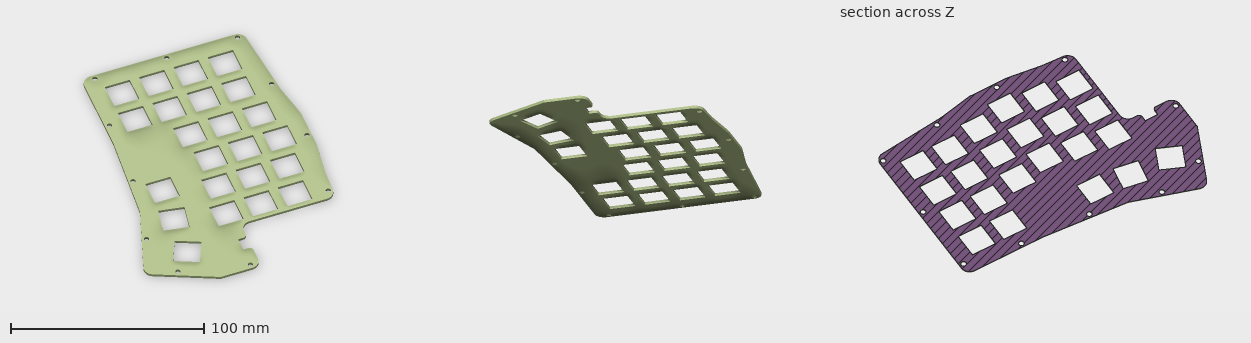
import cadquery as cq


length = 152.5
width = 114.2
thickness = 1.5

right_edge_base = 35.2
upper_right = 122.1
thumb_top = 57.8
main_bottom = 16.2

corner_radius = 5.0
notch_corner_radius = 2.0

notch_left = 131.5
notch_right = 139.0
notch_depth = 4.9

switch_size = 13.9
key_pitch = 19.0
first_column_x = 16.5
column_gap = 0.9
outer_column_y = 32.6

inner_start_x = first_column_x + 2 * key_pitch + column_gap

columns = [
    (first_column_x, outer_column_y, 4),
    (first_column_x + key_pitch, outer_column_y, 4),
    (inner_start_x, 55.6, 3),
    (inner_start_x + key_pitch, 59.6, 3),
    (inner_start_x + 2 * key_pitch, 56.5, 3),
    (inner_start_x + 3 * key_pitch, 53.7, 3),
]

thumb_keys = [
    (86.0, 28.5, 0),
    (106.5, 26.8, -10),
    (129.9, 25.3, -24),
]

screw_diameter = 2.7
screw_inset = 2.5
screw_points = [
    (screw_inset, 102.0),
    (screw_inset, 62.8),
    (screw_inset, 23.0),
    (38.4, 107.2),
    (77.6, 111.8),
    (117.1, 108.4),
    (length - screw_inset, 52.6),
    (141.0, 15.9),
    (114.3, 8.7),
    (74.9, 16.3),
    (34.9, 18.6),
]


def make_plate():
    top_left = (0, 105.8)
    top_right = (upper_right, 110.5)
    inner_corner = (upper_right, thumb_top)
    thumb_top_right = (length, thumb_top)
    tip = (136.3, -1.2)
    bottom_left = (0, main_bottom)
    notch_floor = thumb_top - notch_depth
    notch_lips = [(notch_left, thumb_top), (notch_right, thumb_top)]

    outline = [
        bottom_left,
        top_left,
        (43.0, 110.2),
        (62.5, width),
        (85.4, width),
        (105.3, 111.5),
        top_right,
        inner_corner,
        notch_lips[0],
        (notch_left, notch_floor),
        (notch_right, notch_floor),
        notch_lips[1],
        thumb_top_right,
        (length, right_edge_base),
        tip,
        (95.9, 12.2),
        (46.5, main_bottom),
    ]
    plate = cq.Workplane("XY").polyline(outline).close().extrude(thickness)

    large_corners = [bottom_left, top_left, top_right, inner_corner, thumb_top_right, tip]
    for points, radius in ((large_corners, corner_radius), (notch_lips, notch_corner_radius)):
        for x, y in points:
            nearest = cq.selectors.NearestToPointSelector((x, y, thickness / 2))
            plate = plate.edges("|Z").edges(nearest).fillet(radius)
    return plate


def switch_cutter(x, y, angle):
    square = cq.Workplane("XY").rect(switch_size, switch_size).extrude(thickness)
    return square.rotate((0, 0, 0), (0, 0, 1), angle).translate((x, y, 0))


def cut_switches(plate):
    finger_keys = [(x, y + row * key_pitch, 0) for x, y, count in columns for row in range(count)]
    for x, y, angle in finger_keys + thumb_keys:
        plate = plate.cut(switch_cutter(x, y, angle))
    return plate


def cut_screw_holes(plate):
    holes = cq.Workplane("XY").pushPoints(screw_points).circle(screw_diameter / 2).extrude(thickness)
    return plate.cut(holes)


result = cut_screw_holes(cut_switches(make_plate()))